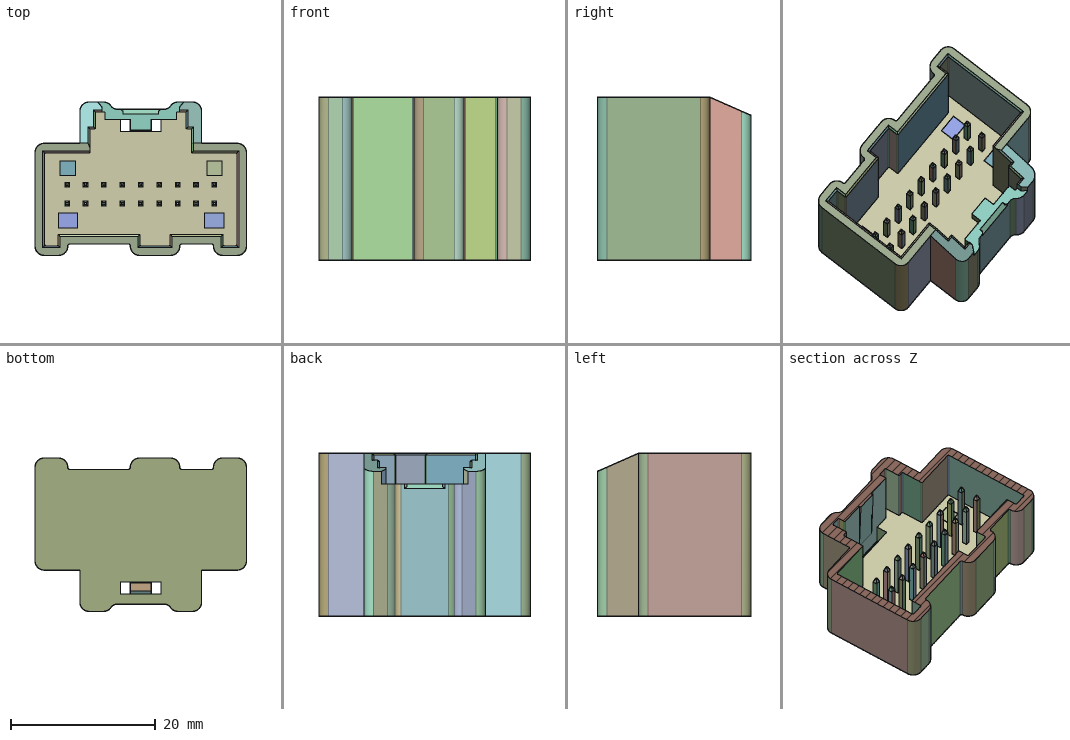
import cadquery as cq
import math

WIDTH = 29.2
DEPTH = 21.2
HEIGHT = 22.5
BODY_DEPTH = 15.5
HALF = WIDTH / 2

TOLERANCE = 0.0003
UPRIGHT = 0.9

WALL = 1.08
OUTER_RADIUS = 1.3
CORNER_BULGE = OUTER_RADIUS * (1 - math.sqrt(0.5))
TOWER_HALF = 8.4
FOOT_STEP = 1.58
FOOT_ROOT_RADIUS = 0.23
LEFT_FOOT_END = -10.05
MIDDLE_FOOT = (-1.45, 5.4)
RIGHT_FOOT_START = 10.02
TOWER_SLOPE_DROP = 2.5
SADDLE_Y = 20.2
SADDLE_HALF = 3.3
SHOULDER_HALF = 5.17
SHOULDER_RADIUS = 4.5
SADDLE_RADIUS = 3.2

FLOOR = 2.92
LIP_CHAMFER = 0.25
CAVITY_RADIUS = 0.15
CAVITY_HALF = HALF - WALL - LIP_CHAMFER
CAVITY_FRONT = WALL + LIP_CHAMFER
CAVITY_RIDGE = FOOT_STEP + WALL + LIP_CHAMFER
CAVITY_BACK = BODY_DEPTH - WALL - LIP_CHAMFER
POCKET_INSET = WALL + LIP_CHAMFER
NECK_HALF = 7.0
STEP_HALF = 6.25
LATCH_WALL_HALF = 4.93
STEP_Y = 17.5
REAR_CORNER_Y = 19.83
LATCH_WALL_Y = 18.75

LATCH_TOP = 18.28
LATCH_HEIGHT = 1.95
LATCH_HALF = 1.45
LATCH_FRONT = 17.25
RIB_THICKNESS = 0.4
SLOT_HALF = 5.35
SLOT_FLARE_HALF = 5.95
SLOT_FLARE_Y = 20.47
LEDGE_HALF = 2.48
LEDGE_END = 0.3
LEDGE_BEVEL = 0.67
WINDOW_HALF = 2.77
WINDOW_FRONT = 17.15

PIN_PITCH = 2.55
PIN_COLUMNS = 9
PIN_ROWS_Y = (7.18, 9.75)
PIN_SIZE = 0.65
PIN_HEIGHT = 7.3
PIN_TIP_INSET = 0.2
PIN_TIP_LENGTH = 0.58

PLATE_RECESS = 0.1
PLATES = (
    (-10.07, 12.05, 2.1, 2.0),
    (10.2, 12.05, 2.1, 2.0),
    (-10.05, 4.82, 2.65, 2.07),
    (10.13, 4.82, 2.65, 2.07),
)


def box(x_min, x_max, y_min, y_max, z_min, z_max):
    size = (x_max - x_min, y_max - y_min, z_max - z_min)
    return cq.Workplane("XY").box(*size, centered=False).translate((x_min, y_min, z_min))


def main_body():
    """Wide body with three rounded feet along its front."""
    block = box(-HALF, HALF, 0, BODY_DEPTH, 0, HEIGHT).edges("|Z").fillet(OUTER_RADIUS)
    for start, end in ((LEFT_FOOT_END, MIDDLE_FOOT[0]), (MIDDLE_FOOT[1], RIGHT_FOOT_START)):
        recess = box(start, end, -FOOT_STEP, FOOT_STEP, 0, HEIGHT)
        recess = recess.edges("|Z and >Y").fillet(FOOT_ROOT_RADIUS)
        block = block.cut(recess)
        for x, side in ((start, 1), (end, -1)):
            block = block.cut(foot_corner(x, side))
    return block


def foot_corner(x, side):
    """Waste outside the rounded front corner of a foot; side points into the recess."""
    r = OUTER_RADIUS
    return (
        cq.Workplane("XY")
        .moveTo(x - side * r, 0)
        .threePointArc((x - side * CORNER_BULGE, CORNER_BULGE), (x, r))
        .lineTo(x, 0)
        .close()
        .extrude(HEIGHT)
    )


def tower():
    """Rear tower with rounded corners, a saddle in its rear face and a sloped top."""
    r = OUTER_RADIUS
    share = SHOULDER_RADIUS / (SHOULDER_RADIUS + SADDLE_RADIUS)
    bend_x = SHOULDER_HALF - share * (SHOULDER_HALF - SADDLE_HALF)
    bend_y = DEPTH - share * (DEPTH - SADDLE_Y)
    half = (
        cq.Workplane("XY")
        .moveTo(0, CAVITY_BACK)
        .lineTo(TOWER_HALF, CAVITY_BACK)
        .lineTo(TOWER_HALF, DEPTH - r)
        .threePointArc((TOWER_HALF - CORNER_BULGE, DEPTH - CORNER_BULGE), (TOWER_HALF - r, DEPTH))
        .lineTo(SHOULDER_HALF, DEPTH)
        .tangentArcPoint((bend_x, bend_y), relative=False)
        .tangentArcPoint((SADDLE_HALF, SADDLE_Y), relative=False)
        .lineTo(0, SADDLE_Y)
        .close()
        .extrude(HEIGHT)
    )
    slope = (
        cq.Workplane("YZ")
        .polyline([(BODY_DEPTH, HEIGHT), (DEPTH, HEIGHT), (DEPTH, HEIGHT - TOWER_SLOPE_DROP)])
        .close()
        .extrude(TOWER_HALF, both=True)
    )
    return half.union(half.mirror("YZ")).cut(slope)


def cavity():
    """Stepped well that follows the outer walls."""
    points = [
        (-CAVITY_HALF, CAVITY_FRONT),
        (LEFT_FOOT_END - POCKET_INSET, CAVITY_FRONT),
        (LEFT_FOOT_END - POCKET_INSET, CAVITY_RIDGE),
        (MIDDLE_FOOT[0] + POCKET_INSET, CAVITY_RIDGE),
        (MIDDLE_FOOT[0] + POCKET_INSET, CAVITY_FRONT),
        (MIDDLE_FOOT[1] - POCKET_INSET, CAVITY_FRONT),
        (MIDDLE_FOOT[1] - POCKET_INSET, CAVITY_RIDGE),
        (RIGHT_FOOT_START + POCKET_INSET, CAVITY_RIDGE),
        (RIGHT_FOOT_START + POCKET_INSET, CAVITY_FRONT),
        (CAVITY_HALF, CAVITY_FRONT),
        (CAVITY_HALF, CAVITY_BACK),
    ]
    rear_right = [
        (NECK_HALF, CAVITY_BACK),
        (NECK_HALF, STEP_Y),
        (STEP_HALF, STEP_Y),
        (STEP_HALF, REAR_CORNER_Y),
        (LATCH_WALL_HALF, REAR_CORNER_Y),
        (LATCH_WALL_HALF, LATCH_WALL_Y),
    ]
    rear_left = [(-x, y) for x, y in reversed(rear_right)]
    points += rear_right + rear_left + [(-CAVITY_HALF, CAVITY_BACK)]
    return cq.Workplane("XY").workplane(offset=FLOOR).polyline(points).close().extrude(HEIGHT)


def latch_slot():
    """Opening above the latch wall, flared at the rear."""
    return (
        cq.Workplane("XY")
        .workplane(offset=LATCH_TOP)
        .polyline([
            (-SLOT_HALF, STEP_Y),
            (SLOT_HALF, STEP_Y),
            (SLOT_HALF, SLOT_FLARE_Y),
            (SLOT_FLARE_HALF, DEPTH),
            (-SLOT_FLARE_HALF, DEPTH),
            (-SLOT_HALF, SLOT_FLARE_Y),
        ])
        .close()
        .extrude(HEIGHT)
    )


def ledge_bevel():
    """Bevel along the outer top edge of the latch wall."""
    wedge = (
        cq.Workplane("YZ")
        .polyline([
            (SADDLE_Y, LATCH_TOP),
            (SADDLE_Y, LATCH_TOP - LEDGE_BEVEL),
            (SADDLE_Y - LEDGE_BEVEL, LATCH_TOP),
        ])
        .close()
        .extrude(LEDGE_HALF + LEDGE_END, both=True)
    )
    outline = (
        cq.Workplane("XY")
        .polyline([
            (-LEDGE_HALF, SADDLE_Y - LEDGE_BEVEL),
            (LEDGE_HALF, SADDLE_Y - LEDGE_BEVEL),
            (LEDGE_HALF, SADDLE_Y - LEDGE_END),
            (LEDGE_HALF + LEDGE_END, SADDLE_Y),
            (-LEDGE_HALF - LEDGE_END, SADDLE_Y),
            (-LEDGE_HALF, SADDLE_Y - LEDGE_END),
        ])
        .close()
        .extrude(HEIGHT)
    )
    return wedge.intersect(outline)


def latch():
    """Catch on the latch wall, with a rib below it that thins out towards the floor."""
    return (
        cq.Workplane("YZ")
        .polyline([
            (LATCH_WALL_Y, LATCH_TOP),
            (LATCH_FRONT, LATCH_TOP),
            (LATCH_FRONT, LATCH_TOP - LATCH_HEIGHT),
            (LATCH_WALL_Y - RIB_THICKNESS, LATCH_TOP - LATCH_HEIGHT),
            (LATCH_WALL_Y, FLOOR),
        ])
        .close()
        .extrude(LATCH_HALF, both=True)
    )


def pin(x, y):
    """Square terminal with a bevelled tip."""
    half = PIN_SIZE / 2
    post = box(x - half, x + half, y - half, y + half, FLOOR, FLOOR + PIN_HEIGHT)
    return post.faces(">Z").chamfer(PIN_TIP_LENGTH, PIN_TIP_INSET)


def lies_on(edge, solid):
    middle = cq.Vertex.makeVertex(*edge.positionAt(0.5).toTuple())
    return middle.distance(solid.val()) < TOLERANCE


def is_upright(edge):
    return abs(edge.tangentAt(0.5).z) > UPRIGHT


def chamfer_lip(shell, well):
    """Chamfer the cavity's rim on the level and sloped tops, except the level part of the left neck."""
    def on_rim(edge):
        middle = edge.positionAt(0.5)
        near_top = middle.z > HEIGHT - TOWER_SLOPE_DROP
        on_left_neck = abs(middle.x + NECK_HALF) < TOLERANCE and CAVITY_BACK < middle.y < BODY_DEPTH
        return near_top and not is_upright(edge) and not on_left_neck and lies_on(edge, well)

    rim = [edge for edge in shell.edges().vals() if on_rim(edge)]
    return shell.newObject(rim).chamfer(LIP_CHAMFER)


def round_corners(shell, well):
    """Round the upright corners of the cavity."""
    corners = [edge for edge in shell.edges().vals() if is_upright(edge) and lies_on(edge, well)]
    return shell.newObject(corners).fillet(CAVITY_RADIUS)


well = cavity()
shell = chamfer_lip(main_body().union(tower()).cut(well), well)
shell = round_corners(shell, well)
shell = shell.cut(latch_slot()).cut(ledge_bevel())
shell = shell.cut(box(-WINDOW_HALF, WINDOW_HALF, WINDOW_FRONT, LATCH_WALL_Y, 0, FLOOR))
shell = shell.union(latch())

for x, y, plate_width, plate_depth in PLATES:
    plate = cq.Workplane("XY").box(plate_width, plate_depth, 2 * PLATE_RECESS)
    shell = shell.cut(plate.translate((x, y, FLOOR)))

first_pin_x = -PIN_PITCH * (PIN_COLUMNS - 1) / 2
for column in range(PIN_COLUMNS):
    for row_y in PIN_ROWS_Y:
        shell = shell.union(pin(first_pin_x + column * PIN_PITCH, row_y))

result = shell